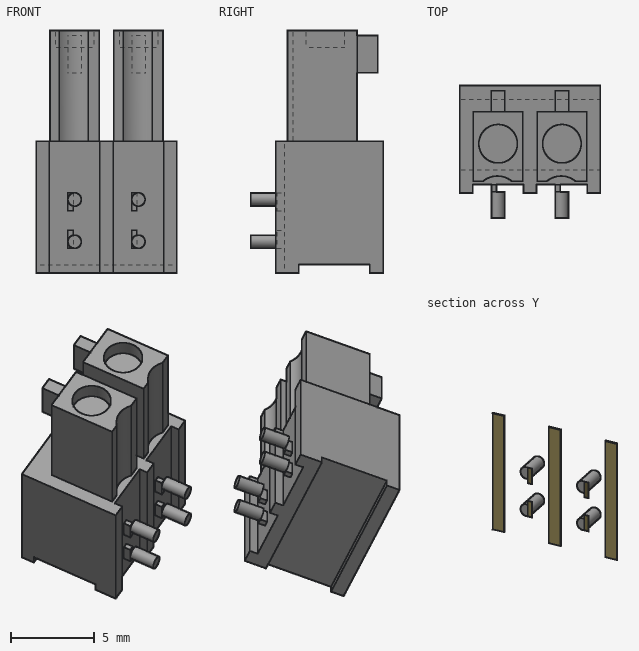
import cadquery as cq

pole_pitch = 3.81
pole_centres = (-pole_pitch / 2, pole_pitch / 2)
total_height = 14.5

housing_width = 8.41
housing_depth = 6.45
housing_height = 7.89

recess_width = 3.02
recess_depth = 0.51

front_foot = 1.39
back_foot = 0.83
foot_height = 0.51

socket_width = 2.96
socket_depth = 4.16
socket_front = 0.71
socket_height = total_height - housing_height

hole_diameter = 2.3
hole_depth = 1.0
hole_y = 2.96

groove_width = 1.74
groove_depth = 0.32
groove_offset = -0.05

rib_width = 0.81
rib_depth = 1.25
rib_height = 2.25
rib_top_gap = 0.29

pin_diameter = 0.8
pin_back_y = 0.07
pin_tip_y = -1.5
pin_length = pin_back_y - pin_tip_y
lower_pin_z = 1.87
pin_pitch = 2.52

lug_thickness = 0.3
lug_height = 1.07


def box(x_min, y_min, z_min, width, depth, height):
    """Box given by its lowest corner and its sizes along X, Y and Z."""
    corner = (x_min, y_min, z_min)
    return cq.Workplane("XY").box(width, depth, height, centered=False).translate(corner)


def make_block():
    """Housing block with a front recess at each pole and a slot across the underside."""
    block = box(-housing_width / 2, 0, 0, housing_width, housing_depth, housing_height)
    for x in pole_centres:
        block = block.cut(box(x - recess_width / 2, 0, 0, recess_width, recess_depth, housing_height))
    slot_depth = housing_depth - front_foot - back_foot
    return block.cut(box(-housing_width / 2, front_foot, 0, housing_width, slot_depth, foot_height))


def make_socket(x):
    """Socket of one pole: grooved column with a blind hole and a latch rib."""
    left = x - socket_width / 2
    right = x + socket_width / 2
    back = socket_front + socket_depth
    groove_x = x + groove_offset
    column = (
        cq.Workplane("XY", origin=(0, 0, housing_height))
        .moveTo(left, socket_front)
        .lineTo(groove_x - groove_width / 2, socket_front)
        .threePointArc(
            (groove_x, socket_front + groove_depth),
            (groove_x + groove_width / 2, socket_front),
        )
        .lineTo(right, socket_front)
        .lineTo(right, back)
        .lineTo(left, back)
        .close()
        .extrude(socket_height)
    )
    rib_bottom = total_height - rib_top_gap - rib_height
    rib = box(x - rib_width / 2, back, rib_bottom, rib_width, rib_depth, rib_height)
    hole = (
        cq.Workplane("XY", origin=(x, hole_y, total_height - hole_depth))
        .circle(hole_diameter / 2)
        .extrude(hole_depth)
    )
    return column.union(rib).cut(hole)


def make_housing():
    """Housing block and its sockets as one solid."""
    housing = make_block()
    for x in pole_centres:
        housing = housing.union(make_socket(x))
    return housing


def make_pin(x, z, lug_bottom):
    """Round solder pin with its flat lug against the recess wall."""
    pin = (
        cq.Workplane("XZ", origin=(x, pin_back_y, z))
        .circle(pin_diameter / 2)
        .extrude(pin_length)
    )
    lug = box(
        x - pin_diameter / 2,
        pin_back_y,
        lug_bottom,
        lug_thickness,
        recess_depth - pin_back_y,
        lug_height,
    )
    return pin.union(lug)


housing = make_housing()

upper_pin_z = lower_pin_z + pin_pitch
lower_lug_bottom = lower_pin_z - pin_diameter / 2
upper_lug_bottom = upper_pin_z + pin_diameter / 2 - lug_height
pins = []
for x in pole_centres:
    pins.append(make_pin(x, lower_pin_z, lower_lug_bottom))
    pins.append(make_pin(x, upper_pin_z, upper_lug_bottom))

result = cq.Compound.makeCompound([housing.val(), *[pin.val() for pin in pins]])